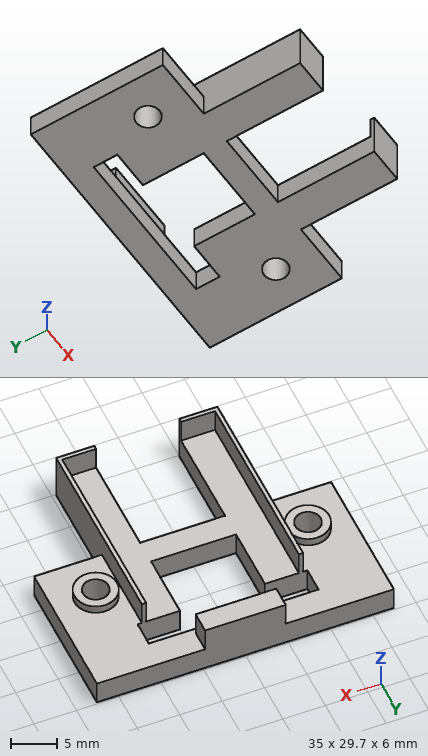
import cadquery as cq

plate_width = 35.0
plate_thickness = 3.0
total_length = 29.66
total_height = 6.0
front_bar_depth = 3.0
plate_depth = 17.16

slot_width = 20.0
slot_back = 3.2
slot_front = 6.26
arm_gap = 10.0

arm_outer_x = 9.5
arm_width = arm_outer_x - arm_gap / 2
arm_length = total_length - slot_front
wall_thickness = 0.5
wall_height = total_height - plate_thickness

tab_width = 9.5
tab_depth = 2.6

boss_x = 12.5
boss_y = -11.9
boss_diameter = 5.0
boss_height = 1.0
hole_diameter = 3.0


def block(x_center, width, y_back, depth, z_bottom, height):
    """Box centred on x_center that runs forward (-Y) from y_back."""
    return (
        cq.Workplane("XY")
        .box(width, depth, height, centered=(True, False, False))
        .translate((x_center, y_back - depth, z_bottom))
    )


def plate_with_opening():
    plate = block(0, plate_width, 0, plate_depth, 0, plate_thickness)
    slot = block(0, slot_width, -slot_back, slot_front - slot_back, 0, plate_thickness)
    gap_depth = plate_depth - front_bar_depth - slot_front
    gap = block(0, arm_gap, -slot_front, gap_depth, 0, plate_thickness)
    return plate.cut(slot).cut(gap)


def arm(side):
    """Arm on the side = -1 (left) or +1 (right), with its outer and end walls."""
    arm_x = side * (arm_outer_x - arm_width / 2)
    wall_x = side * (arm_outer_x - wall_thickness / 2)
    end_wall_back = wall_thickness - total_length
    floor = block(arm_x, arm_width, -slot_front, arm_length, 0, plate_thickness)
    outer_wall = block(wall_x, wall_thickness, -slot_front, arm_length, plate_thickness, wall_height)
    end_wall = block(arm_x, arm_width, end_wall_back, wall_thickness, plate_thickness, wall_height)
    return floor.union(outer_wall).union(end_wall)


def cylinder_at_boss(side, diameter, height):
    return cq.Workplane("XY").center(side * boss_x, boss_y).circle(diameter / 2).extrude(height)


result = plate_with_opening()
result = result.union(block(0, tab_width, 0, tab_depth, plate_thickness, wall_height))

for side in (-1, 1):
    boss_top = plate_thickness + boss_height
    result = result.union(arm(side))
    result = result.union(cylinder_at_boss(side, boss_diameter, boss_top))
    result = result.cut(cylinder_at_boss(side, hole_diameter, boss_top))